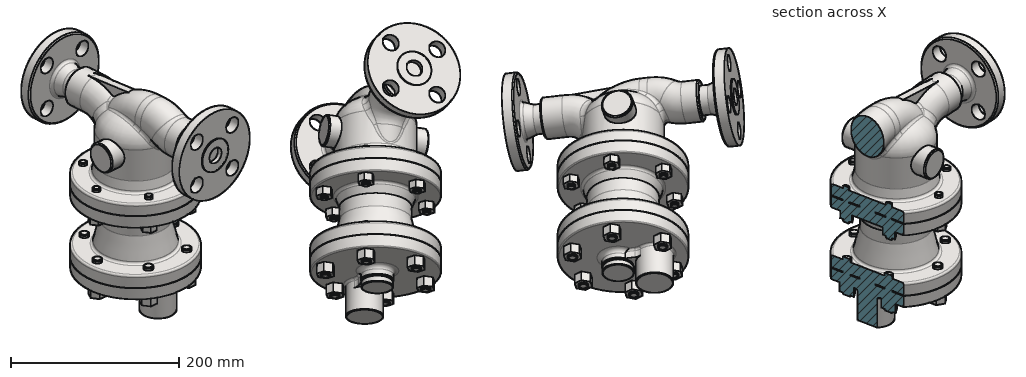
import cadquery as cq
import math


OVERALL_LENGTH = 273.0
PIPE_AXIS_Z = 251.0

PIPE_FLANGE_DIA = 117.0
PIPE_FLANGE_THICKNESS = 14.2
PIPE_FLANGE_CHAMFER = 2.0
RAISED_FACE_DIA = 43.0
RAISED_FACE_HEIGHT = 1.5
NECK_DIA = 36.0
NECK_BASE_DIA = 43.3
NECK_TAPER_END = 15.0
NECK_FILLET = 3.7
NECK_LENGTH = 24.8
FLANGE_HOLE_DIA = 20.0
FLANGE_HOLE_PITCH_DIA = 83.0
FLANGE_HOLE_COUNT = 4
FLANGE_HOLE_FIRST_ANGLE = 45
BORE_DIA = 20.0
BORE_DEPTH = 6.2

PIPE_DIA = 50.0
PIPE_END_CHAMFER = 2.0
INLET_BEND_X = -69.3
INLET_BEND_RADIUS = 41.8
INLET_BEND_ANGLE = 80
INLET_TAIL = 43.3
OUTLET_BEND_X = 75.0
OUTLET_LOWER_RADIUS = 35.3
OUTLET_UPPER_RADIUS = 44.0
OUTLET_RISE_ANGLE = 31
OUTLET_CREST_LENGTH = 10.0
OUTLET_ENTRY_RADIUS = 55.7
OUTLET_ENTRY_ANGLE = 60
INLET_BLEND = 12.5
OUTLET_BLEND = 5.0

RIB_WIDTH = 10.5
RIB_START_X = -75.0
RIB_START_SINK = 0.3
RIB_END_X = 0.0
RIB_RISE = 5.5
RIB_BASE_Z = 241.5

BODY_DIA = 98.0
DOME_HEIGHT = 35.0
DOME_BASE_Z = 231.0
BODY_FLARE_Z = 188.5
BODY_FLARE_DIA = 104.0
WAIST_DIA = 86.0
WAIST_TOP_Z = 126.3
WAIST_TOP_DIA = 94.0
WAIST_BOTTOM_Z = 110.0
SKIRT_DIA = 101.5
BODY_FILLET = 3.5
SIDE_PLUG_DIA = 38.0
SIDE_PLUG_X = 6.0
SIDE_PLUG_Z = 218.8
SIDE_PLUG_REACH = 63.0
SIDE_PLUG_CHAMFER = 1.5

JOINT_DIA = 156.0
JOINT_GASKET_DIA = 112.5
JOINT_GAP = 0.5
JOINT_TOP_FILLET = 2.8
JOINT_BOTTOM_FILLET = 1.5
UPPER_JOINT_TOP_Z = 173.3
UPPER_JOINT_SEAM_Z = 156.5
UPPER_JOINT_BOTTOM_Z = 140.2
LOWER_JOINT_TOP_Z = 75.8
LOWER_JOINT_SEAM_Z = 58.2
LOWER_JOINT_BOTTOM_Z = 42.0
BOLT_COUNT = 6
BOLT_FIRST_ANGLE = 30
BOLT_CHAMFER = 1.2
BOLT_STICKOUT = 4.0
UPPER_BOLT_DIA = 10.0
UPPER_BOLT_PITCH_DIA = 129.5
UPPER_NUT_WIDTH = 17.3
UPPER_NUT_HEIGHT = 10.0
UPPER_BOLT_END = 3.0
LOWER_BOLT_DIA = 12.0
LOWER_BOLT_PITCH_DIA = 126.3
LOWER_NUT_WIDTH = 19.2
LOWER_NUT_HEIGHT = 12.5
LOWER_BOLT_END = 2.0

DRAIN_DIA = 45.0
DRAIN_X = 38.5
DRAIN_CHAMFER = 1.0
PLUG_DIA = 38.0
PLUG_X = -6.0
PLUG_BOTTOM_Z = 20.0
PLUG_CHAMFER = 1.0
PLUG_TOP_Z = 27.5
PLUG_STEM_DIA = 36.5
PLUG_BOSS_DIA = 39.0
PLUG_BOSS_BOTTOM_Z = 29.7
BOSS_FILLET = 6.0
WEB_WIDTH = 31.0
WEB_FILLET = 12.5
COVER_FILLET = 2.8

PIPE_RADIUS = PIPE_DIA / 2
FLANGE_BACK_X = OVERALL_LENGTH / 2 - RAISED_FACE_HEIGHT - PIPE_FLANGE_THICKNESS
PIPE_END_X = FLANGE_BACK_X - NECK_LENGTH


def post(x, y, bottom_z, top_z, diameter):
    """Vertical cylinder between two heights."""
    return cq.Workplane("XY", origin=(x, y, bottom_z)).circle(diameter / 2).extrude(top_z - bottom_z)


def revolved(outline):
    """Close an outline drawn in the XZ plane and turn it about the Z axis."""
    return outline.close().revolve(360, (0, 0, 0), (0, 1, 0))


def pipe_along(path, start_x):
    """Solid pipe swept along a path that starts horizontally at start_x on the pipe axis."""
    profile = cq.Workplane("YZ", origin=(start_x, 0, PIPE_AXIS_Z)).circle(PIPE_RADIUS)
    return profile.sweep(path)


def arc_point(center, radius, angle):
    """Point on an arc, with the angle in degrees from +X."""
    a = math.radians(angle)
    return (center[0] + radius * math.cos(a), center[1] + radius * math.sin(a))


def arc_to(path, center, radius, start_angle, end_angle):
    """Extend a path with an arc about center."""
    middle = arc_point(center, radius, (start_angle + end_angle) / 2)
    return path.threePointArc(middle, arc_point(center, radius, end_angle))


def make_inlet():
    """Inlet pipe: straight run, then a bend down into the body."""
    center = (INLET_BEND_X, PIPE_AXIS_Z - INLET_BEND_RADIUS)
    end_angle = 90 - INLET_BEND_ANGLE
    bend_end = arc_point(center, INLET_BEND_RADIUS, end_angle)
    tail_end = (
        bend_end[0] + INLET_TAIL * math.sin(math.radians(end_angle)),
        bend_end[1] - INLET_TAIL * math.cos(math.radians(end_angle)),
    )
    path = cq.Workplane("XZ").moveTo(-PIPE_END_X, PIPE_AXIS_Z).lineTo(INLET_BEND_X, PIPE_AXIS_Z)
    path = arc_to(path, center, INLET_BEND_RADIUS, 90, end_angle).lineTo(*tail_end)
    return pipe_along(path, -PIPE_END_X).faces("<X").chamfer(PIPE_END_CHAMFER)


def make_outlet():
    """Outlet pipe: S-bend up to a short crest, then a bend down into the dome."""
    rise = math.radians(OUTLET_RISE_ANGLE)
    bends = OUTLET_LOWER_RADIUS + OUTLET_UPPER_RADIUS
    crest_x = OUTLET_BEND_X - bends * math.sin(rise)
    crest_z = PIPE_AXIS_Z + bends * (1 - math.cos(rise))
    entry_x = crest_x - OUTLET_CREST_LENGTH
    lower = (OUTLET_BEND_X, PIPE_AXIS_Z + OUTLET_LOWER_RADIUS)
    upper = (crest_x, crest_z - OUTLET_UPPER_RADIUS)
    entry = (entry_x, crest_z - OUTLET_ENTRY_RADIUS)

    path = cq.Workplane("XZ").moveTo(PIPE_END_X, PIPE_AXIS_Z).lineTo(OUTLET_BEND_X, PIPE_AXIS_Z)
    path = arc_to(path, lower, OUTLET_LOWER_RADIUS, -90, -90 - OUTLET_RISE_ANGLE)
    path = arc_to(path, upper, OUTLET_UPPER_RADIUS, 90 - OUTLET_RISE_ANGLE, 90)
    path = path.lineTo(entry_x, crest_z)
    path = arc_to(path, entry, OUTLET_ENTRY_RADIUS, 90, 90 + OUTLET_ENTRY_ANGLE)
    return pipe_along(path, PIPE_END_X).faces(">X").chamfer(PIPE_END_CHAMFER)


def make_upper_body():
    """Domed housing flaring out to the upper joint."""
    radius = BODY_DIA / 2
    flare_radius = BODY_FLARE_DIA / 2
    flare_z = UPPER_JOINT_TOP_Z + BODY_FILLET
    return revolved(
        cq.Workplane("XZ")
        .moveTo(0, UPPER_JOINT_SEAM_Z)
        .lineTo(flare_radius, UPPER_JOINT_SEAM_Z)
        .lineTo(flare_radius, flare_z)
        .lineTo(radius, BODY_FLARE_Z)
        .lineTo(radius, DOME_BASE_Z)
        .ellipseArc(radius, DOME_HEIGHT, 0, 90, startAtCurrent=True, sense=1)
        .lineTo(0, UPPER_JOINT_SEAM_Z)
    )


def make_lower_body():
    """Waisted housing between the two joints, with a conical skirt at its foot."""
    waist_radius = WAIST_DIA / 2
    skirt_radius = SKIRT_DIA / 2
    skirt_z = LOWER_JOINT_TOP_Z + BODY_FILLET
    return revolved(
        cq.Workplane("XZ")
        .moveTo(0, LOWER_JOINT_SEAM_Z)
        .lineTo(skirt_radius, LOWER_JOINT_SEAM_Z)
        .lineTo(skirt_radius, skirt_z)
        .lineTo(waist_radius, WAIST_BOTTOM_Z)
        .lineTo(waist_radius, WAIST_TOP_Z)
        .lineTo(WAIST_TOP_DIA / 2, UPPER_JOINT_BOTTOM_Z - BODY_FILLET)
        .lineTo(WAIST_TOP_DIA / 2, UPPER_JOINT_SEAM_Z)
        .lineTo(0, UPPER_JOINT_SEAM_Z)
    )


def fillet_ring(face_z, diameter, size, direction):
    """Quarter-round collar blending a round body into a flange face at face_z.

    direction is +1 when the body stands above the face and -1 when it hangs below.
    """
    radius = diameter / 2
    far_z = face_z + direction * size
    inset = size * (1 - math.sqrt(0.5))
    return revolved(
        cq.Workplane("XZ")
        .moveTo(0, face_z)
        .lineTo(radius + size, face_z)
        .threePointArc((radius + inset, face_z + direction * inset), (radius, far_z))
        .lineTo(0, far_z)
    )


def make_joint(top_z, seam_z, bottom_z):
    """Pair of body flanges held apart by a thin recessed gasket."""
    upper = post(0, 0, seam_z + JOINT_GAP / 2, top_z, JOINT_DIA)
    upper = upper.faces(">Z").edges().fillet(JOINT_TOP_FILLET)
    lower = post(0, 0, bottom_z, seam_z - JOINT_GAP / 2, JOINT_DIA)
    lower = lower.faces("<Z").edges().fillet(JOINT_BOTTOM_FILLET)
    gasket = post(0, 0, seam_z - JOINT_GAP, seam_z + JOINT_GAP, JOINT_GASKET_DIA)
    return upper.union(lower).union(gasket)


def make_bolts(top_z, bottom_z, bolt_dia, pitch_dia, nut_width, nut_height, end_length):
    """Ring of studs through one joint, each with a hexagon nut under the lower flange."""
    nut_bottom_z = bottom_z - nut_height
    stud = post(0, 0, nut_bottom_z - end_length, top_z + BOLT_STICKOUT, bolt_dia)
    stud = stud.faces("<Z or >Z").chamfer(BOLT_CHAMFER)
    corner_dia = nut_width / math.cos(math.pi / 6)
    nut = cq.Workplane("XY", origin=(0, 0, nut_bottom_z)).polygon(6, corner_dia).extrude(nut_height)
    bolt = stud.union(nut.rotate((0, 0, 0), (0, 0, 1), 90))
    bolts = []
    for index in range(BOLT_COUNT):
        x, y = arc_point((0, 0), pitch_dia / 2, BOLT_FIRST_ANGLE + index * 360 / BOLT_COUNT)
        bolts.append(bolt.translate((x, y, 0)))
    return bolts


def make_rib():
    """Upright web in the symmetry plane, sloping up from the inlet to the outlet."""
    start_z = PIPE_AXIS_Z + PIPE_RADIUS - RIB_START_SINK
    return (
        cq.Workplane("XZ", origin=(0, RIB_WIDTH / 2, 0))
        .polyline([
            (RIB_START_X, RIB_BASE_Z),
            (RIB_END_X, RIB_BASE_Z),
            (RIB_END_X, start_z + RIB_RISE),
            (RIB_START_X, start_z),
        ])
        .close()
        .extrude(RIB_WIDTH)
    )


def make_side_plugs():
    """Plugs on the front and back of the housing, made as one through bar."""
    return (
        cq.Workplane("XZ", origin=(SIDE_PLUG_X, SIDE_PLUG_REACH, SIDE_PLUG_Z))
        .circle(SIDE_PLUG_DIA / 2)
        .extrude(2 * SIDE_PLUG_REACH)
        .faces("<Y or >Y")
        .chamfer(SIDE_PLUG_CHAMFER)
    )


def make_pipe_flange():
    """Weld-neck flange on the +X side, with bolt holes and a blind bore."""
    neck_radius = NECK_DIA / 2
    neck_base_radius = NECK_BASE_DIA / 2
    flange_radius = PIPE_FLANGE_DIA / 2
    face_x = FLANGE_BACK_X + PIPE_FLANGE_THICKNESS
    end_x = face_x + RAISED_FACE_HEIGHT
    fillet_x = FLANGE_BACK_X - NECK_FILLET
    fillet_inset = NECK_FILLET * (1 - math.sqrt(0.5))
    fillet_middle = (FLANGE_BACK_X - fillet_inset, neck_base_radius + fillet_inset)
    root_x = PIPE_END_X - PIPE_RADIUS
    flange = (
        cq.Workplane("XY")
        .moveTo(root_x, 0)
        .lineTo(root_x, neck_radius)
        .lineTo(FLANGE_BACK_X - NECK_TAPER_END, neck_radius)
        .lineTo(fillet_x, neck_base_radius)
        .threePointArc(fillet_middle, (FLANGE_BACK_X, neck_base_radius + NECK_FILLET))
        .lineTo(FLANGE_BACK_X, flange_radius - PIPE_FLANGE_CHAMFER)
        .lineTo(FLANGE_BACK_X + PIPE_FLANGE_CHAMFER, flange_radius)
        .lineTo(face_x, flange_radius)
        .lineTo(face_x, RAISED_FACE_DIA / 2)
        .lineTo(end_x, RAISED_FACE_DIA / 2)
        .lineTo(end_x, 0)
        .close()
        .revolve(360, (0, 0, 0), (1, 0, 0))
    )
    holes = (
        cq.Workplane("YZ", origin=(FLANGE_BACK_X, 0, 0))
        .polarArray(FLANGE_HOLE_PITCH_DIA / 2, FLANGE_HOLE_FIRST_ANGLE, 360, FLANGE_HOLE_COUNT)
        .circle(FLANGE_HOLE_DIA / 2)
        .extrude(PIPE_FLANGE_THICKNESS)
    )
    bore = cq.Workplane("YZ", origin=(end_x - BORE_DEPTH, 0, 0)).circle(BORE_DIA / 2).extrude(BORE_DEPTH)
    return flange.cut(holes).cut(bore).translate((0, 0, PIPE_AXIS_Z))


def make_cover():
    """Lower joint with a drain pipe and a drain plug on its underside, tied together by a short web."""
    root_z = LOWER_JOINT_BOTTOM_Z
    pipe = post(DRAIN_X, 0, 0, root_z, DRAIN_DIA).faces("<Z").chamfer(DRAIN_CHAMFER)
    boss = post(PLUG_X, 0, PLUG_BOSS_BOTTOM_Z, root_z, PLUG_BOSS_DIA)
    web = cq.Workplane("XY", origin=(PLUG_X, 0, PLUG_BOSS_BOTTOM_Z)).box(
        DRAIN_X - PLUG_X, WEB_WIDTH, root_z - PLUG_BOSS_BOTTOM_Z, centered=(False, True, False)
    )
    fittings = boss.union(web).union(pipe)

    web_corners = cq.selectors.BoxSelector(
        (DRAIN_X - DRAIN_DIA / 2, -DRAIN_DIA / 2, PLUG_BOSS_BOTTOM_Z), (DRAIN_X, DRAIN_DIA / 2, root_z)
    )
    fittings = fittings.edges("|Z").edges(web_corners).fillet(WEB_FILLET)
    cover = make_joint(LOWER_JOINT_TOP_Z, LOWER_JOINT_SEAM_Z, root_z).union(fittings)

    root_edges = cq.selectors.BoxSelector(
        (PLUG_X - PLUG_BOSS_DIA, -DRAIN_DIA, root_z - JOINT_GAP),
        (DRAIN_X + DRAIN_DIA, DRAIN_DIA, root_z + JOINT_GAP),
        boundingbox=True,
    )
    cover = cover.edges(root_edges).fillet(COVER_FILLET)
    boss_root = fillet_ring(root_z, PLUG_BOSS_DIA, BOSS_FILLET, -1).translate((PLUG_X, 0, 0))

    plug_stem = post(PLUG_X, 0, PLUG_TOP_Z, root_z, PLUG_STEM_DIA)
    plug = post(PLUG_X, 0, PLUG_BOTTOM_Z, PLUG_TOP_Z, PLUG_DIA).faces("<Z").chamfer(PLUG_CHAMFER)
    return cover.union(boss_root).union(plug_stem).union(plug)


piping = make_upper_body().union(make_inlet()).edges("%BSPLINE").fillet(INLET_BLEND)
piping = piping.union(make_outlet())
over_dome = cq.selectors.BoxSelector(
    (-BODY_DIA / 3, -BODY_DIA / 2, PIPE_AXIS_Z), (BODY_DIA / 3, BODY_DIA / 2, DOME_BASE_Z + DOME_HEIGHT)
)
piping = piping.edges("%BSPLINE").edges(over_dome).fillet(OUTLET_BLEND)
piping = piping.union(make_rib()).union(make_side_plugs())

pipe_flange = make_pipe_flange()
piping = piping.union(pipe_flange).union(pipe_flange.mirror("YZ"))

cover = make_cover()

result = (
    piping
    .union(make_lower_body())
    .union(make_joint(UPPER_JOINT_TOP_Z, UPPER_JOINT_SEAM_Z, UPPER_JOINT_BOTTOM_Z))
    .union(cover)
    .union(fillet_ring(UPPER_JOINT_TOP_Z, BODY_FLARE_DIA, BODY_FILLET, 1))
    .union(fillet_ring(UPPER_JOINT_BOTTOM_Z, WAIST_TOP_DIA, BODY_FILLET, -1))
    .union(fillet_ring(LOWER_JOINT_TOP_Z, SKIRT_DIA, BODY_FILLET, 1))
)
upper_bolts = make_bolts(
    UPPER_JOINT_TOP_Z, UPPER_JOINT_BOTTOM_Z, UPPER_BOLT_DIA, UPPER_BOLT_PITCH_DIA,
    UPPER_NUT_WIDTH, UPPER_NUT_HEIGHT, UPPER_BOLT_END,
)
lower_bolts = make_bolts(
    LOWER_JOINT_TOP_Z, LOWER_JOINT_BOTTOM_Z, LOWER_BOLT_DIA, LOWER_BOLT_PITCH_DIA,
    LOWER_NUT_WIDTH, LOWER_NUT_HEIGHT, LOWER_BOLT_END,
)
for bolt in upper_bolts + lower_bolts:
    result = result.union(bolt)